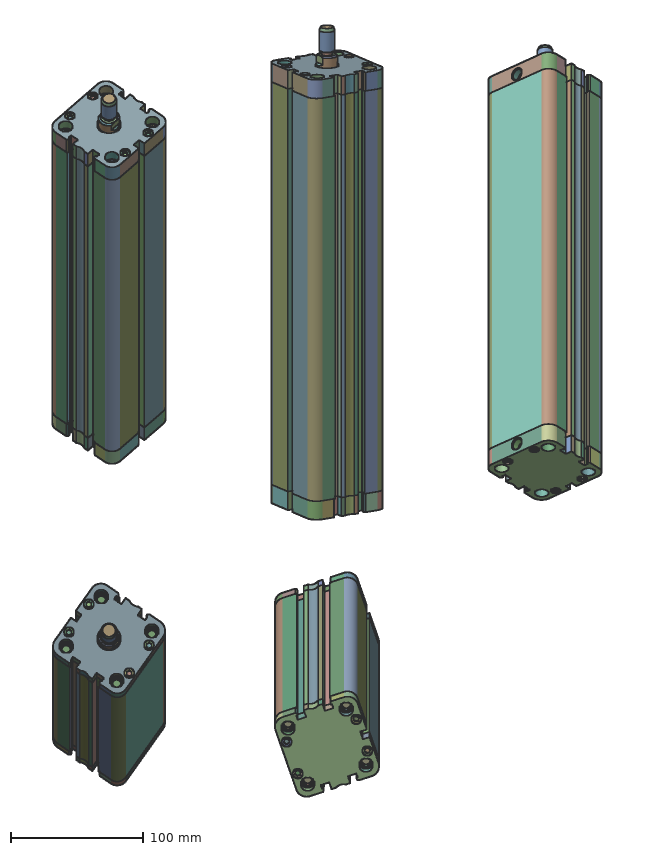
import cadquery as cq

TOTAL_HEIGHT = 375.0
SIDE = 65.5
CORNER_RADIUS = 8.2
CAP_HEIGHT = 14.5
HOUSING_HEIGHT = 345.0
BARREL_HEIGHT = HOUSING_HEIGHT - 2 * CAP_HEIGHT
HALF_SIDE = SIDE / 2
CUT_MARGIN = 3.8
SIGNS = (1, -1)

SLOT_INNER_X = 7.5
SLOT_LIP_X = 13.0
SLOT_UNDERCUT_X = 14.2
SLOT_DEPTH = 5.5
LIP_THICKNESS = 2.5
LIP_BEVEL = SLOT_UNDERCUT_X - SLOT_LIP_X

GROOVE_WIDTH = 8.0
GROOVE_DEPTH = 1.0
GROOVE_RADIUS = (GROOVE_WIDTH**2 / 4 + GROOVE_DEPTH**2) / (2 * GROOVE_DEPTH)

SIDE_SLOT_WIDTH = 6.5
SIDE_SLOT_DEPTH = 5.2

MOUNT_SPACING = 46.5
COUNTERBORE_DIAMETER = 10.5
COUNTERBORE_DEPTH = 8.2
THREAD_MOUTH_DIAMETER = 8.5
MOUNT_DIAMETER = 6.8
THREAD_MOUTH_DEPTH = (THREAD_MOUTH_DIAMETER - MOUNT_DIAMETER) / 2

RECESS_SPACING_X = 55.5
RECESS_SPACING_Y = 26.2
RECESS_DIAMETER = 7.5
RECESS_DEPTH = 1.5
SOCKET_ACROSS_CORNERS = 4.5
SOCKET_DEPTH = 1.5

PORT_MOUTH_DIAMETER = 10.0
PORT_DIAMETER = 8.5
PORT_MOUTH_DEPTH = (PORT_MOUTH_DIAMETER - PORT_DIAMETER) / 2
PORT_DEPTH = 6.8
PORT_INSET = 8.2

CHANNEL_DIAMETER = 3.5
CHANNEL_DROP = 2.0
CHANNEL_LENGTH = 5.5

SEAT_DIAMETER = 18.0
SEAT_DEPTH = 1.0

ROD_DIAMETER = 16.0
ROD_SHOULDER = 353.5
SHOULDER_CHAMFER_WIDTH = 1.5
SHOULDER_CHAMFER_HEIGHT = 1.0
FLATS_WIDTH = 13.0
FLATS_BOTTOM = 347.2
NECK_DIAMETER = 8.5
THREAD_DIAMETER = 12.0
THREAD_BOTTOM = 356.0
THREAD_CHAMFER_WIDTH = 1.0
THREAD_BOTTOM_CHAMFER_HEIGHT = 0.8
TIP_CHAMFER_HEIGHT = 2.5


def prism(points, height, x_sign=1, y_sign=1):
    """Upright prism on a polygon, mirrored in X or Y by the signs."""
    outline = [(x_sign * x, y_sign * y) for x, y in points]
    return cq.Workplane("XY").polyline(outline).close().extrude(height)


def grooved_bar(height):
    """Rounded square bar with the slots and grooves that run the whole length of the cylinder."""
    slot_floor = HALF_SIDE - SLOT_DEPTH
    lip_bottom = HALF_SIDE - LIP_THICKNESS
    outside = HALF_SIDE + CUT_MARGIN
    lipped_slot = [
        (SLOT_INNER_X, outside),
        (SLOT_LIP_X, outside),
        (SLOT_LIP_X, lip_bottom),
        (SLOT_UNDERCUT_X, lip_bottom),
        (SLOT_UNDERCUT_X, slot_floor),
        (SLOT_INNER_X, slot_floor),
    ]
    groove_axis = HALF_SIDE - GROOVE_DEPTH + GROOVE_RADIUS

    bar = cq.Workplane("XY").rect(SIDE, SIDE).extrude(height).edges("|Z").fillet(CORNER_RADIUS)
    for y_sign in SIGNS:
        for x_sign in SIGNS:
            bar = bar.cut(prism(lipped_slot, height, x_sign, y_sign))
        groove = cq.Workplane("XY").center(0, y_sign * groove_axis).circle(GROOVE_RADIUS)
        bar = bar.cut(groove.extrude(height))
    side_slot = cq.Workplane("XY").center(HALF_SIDE, 0).rect(2 * SIDE_SLOT_DEPTH, SIDE_SLOT_WIDTH)
    return bar.cut(side_slot.extrude(height))


def bevel_slot_lips(body):
    """Bevel the outer edge of each slot lip over the cap height."""
    bevel = [
        (SLOT_LIP_X, HALF_SIDE - LIP_BEVEL),
        (SLOT_LIP_X, HALF_SIDE),
        (SLOT_UNDERCUT_X, HALF_SIDE),
    ]
    for x_sign in SIGNS:
        for y_sign in SIGNS:
            body = body.cut(prism(bevel, CAP_HEIGHT, x_sign, y_sign))
    return body


def mounting_hole():
    """Cutter for one mounting hole, with its axis on Z."""
    counterbore_floor = CAP_HEIGHT - COUNTERBORE_DEPTH
    outline = [
        (0, 0),
        (MOUNT_DIAMETER / 2, 0),
        (MOUNT_DIAMETER / 2, counterbore_floor - THREAD_MOUTH_DEPTH),
        (THREAD_MOUTH_DIAMETER / 2, counterbore_floor),
        (COUNTERBORE_DIAMETER / 2, counterbore_floor),
        (COUNTERBORE_DIAMETER / 2, CAP_HEIGHT),
        (0, CAP_HEIGHT),
    ]
    return cq.Workplane("XZ").polyline(outline).close().revolve(360, (0, 0, 0), (0, 1, 0))


def socket_recess():
    """Cutter for one round recess with its hexagon socket, with its axis on Z."""
    recess_floor = cq.Workplane("XY", origin=(0, 0, CAP_HEIGHT - RECESS_DEPTH))
    recess = recess_floor.circle(RECESS_DIAMETER / 2).extrude(RECESS_DEPTH)
    socket = recess_floor.polygon(6, SOCKET_ACROSS_CORNERS).extrude(-SOCKET_DEPTH)
    return recess.union(socket)


def air_port():
    """Cutter for the port: a blind bore with a countersunk mouth."""
    port_z = CAP_HEIGHT - PORT_INSET
    bore = cq.Workplane("YZ", origin=(-HALF_SIDE, 0, port_z)).circle(PORT_DIAMETER / 2).extrude(PORT_DEPTH)
    mouth = cq.Solid.makeCone(
        PORT_MOUTH_DIAMETER / 2,
        PORT_DIAMETER / 2,
        PORT_MOUTH_DEPTH,
        pnt=cq.Vector(-HALF_SIDE, 0, port_z),
        dir=cq.Vector(1, 0, 0),
    )
    return bore.union(cq.Workplane(mouth))


def end_cap():
    """End cap standing on Z = 0 with its outer end facing up."""
    body = bevel_slot_lips(grooved_bar(CAP_HEIGHT))
    for x_sign in SIGNS:
        for y_sign in SIGNS:
            mount_x = x_sign * MOUNT_SPACING / 2
            mount_y = y_sign * MOUNT_SPACING / 2
            body = body.cut(mounting_hole().translate((mount_x, mount_y, 0)))
            recess_x = x_sign * RECESS_SPACING_X / 2
            recess_y = y_sign * RECESS_SPACING_Y / 2
            body = body.cut(socket_recess().translate((recess_x, recess_y, 0)))
    return body.cut(air_port())


def make_barrel():
    return grooved_bar(BARREL_HEIGHT).translate((0, 0, CAP_HEIGHT))


def make_bottom_cap():
    """The end cap turned over, so that its outer end faces down."""
    return end_cap().rotate((0, 0, 0), (1, 0, 0), 180).translate((0, 0, CAP_HEIGHT))


def make_top_cap():
    """The end cap with the rod passage, the seat around it and the air channel."""
    cap_bottom = HOUSING_HEIGHT - CAP_HEIGHT
    body = end_cap().translate((0, 0, cap_bottom))

    passage = cq.Workplane("XY", origin=(0, 0, cap_bottom)).circle(ROD_DIAMETER / 2).extrude(CAP_HEIGHT)
    seat_floor = cq.Workplane("XY", origin=(0, 0, HOUSING_HEIGHT - SEAT_DEPTH))
    seat = seat_floor.circle(SEAT_DIAMETER / 2).extrude(SEAT_DEPTH)

    channel_z = HOUSING_HEIGHT - PORT_INSET - CHANNEL_DROP
    port_floor = cq.Workplane("YZ", origin=(-HALF_SIDE + PORT_DEPTH, 0, channel_z))
    channel = port_floor.circle(CHANNEL_DIAMETER / 2).extrude(CHANNEL_LENGTH)
    return body.cut(passage).cut(seat).cut(channel)


def make_rod():
    """Rod standing on the barrel, with wrench flats, an undercut neck and a threaded end."""
    rod_bottom = HOUSING_HEIGHT - CAP_HEIGHT
    rod_radius = ROD_DIAMETER / 2
    neck_radius = NECK_DIAMETER / 2
    thread_radius = THREAD_DIAMETER / 2
    outline = [
        (0, rod_bottom),
        (rod_radius, rod_bottom),
        (rod_radius, ROD_SHOULDER - SHOULDER_CHAMFER_HEIGHT),
        (rod_radius - SHOULDER_CHAMFER_WIDTH, ROD_SHOULDER),
        (neck_radius, ROD_SHOULDER),
        (neck_radius, THREAD_BOTTOM),
        (thread_radius - THREAD_CHAMFER_WIDTH, THREAD_BOTTOM),
        (thread_radius, THREAD_BOTTOM + THREAD_BOTTOM_CHAMFER_HEIGHT),
        (thread_radius, TOTAL_HEIGHT - TIP_CHAMFER_HEIGHT),
        (thread_radius - THREAD_CHAMFER_WIDTH, TOTAL_HEIGHT),
        (0, TOTAL_HEIGHT),
    ]
    body = cq.Workplane("XZ").polyline(outline).close().revolve(360, (0, 0, 0), (0, 1, 0))

    flat_x = FLATS_WIDTH / 2
    run_out = rod_radius - flat_x
    for x_sign in SIGNS:
        flat_cut = [
            (x_sign * flat_x, ROD_SHOULDER),
            (x_sign * flat_x, FLATS_BOTTOM),
            (x_sign * rod_radius, FLATS_BOTTOM - run_out),
            (x_sign * rod_radius, ROD_SHOULDER),
        ]
        body = body.cut(cq.Workplane("XZ").polyline(flat_cut).close().extrude(rod_radius, both=True))
    return body


barrel = make_barrel()
bottom_cap = make_bottom_cap()
top_cap = make_top_cap()
rod = make_rod()

result = cq.Compound.makeCompound([barrel.val(), bottom_cap.val(), top_cap.val(), rod.val()])